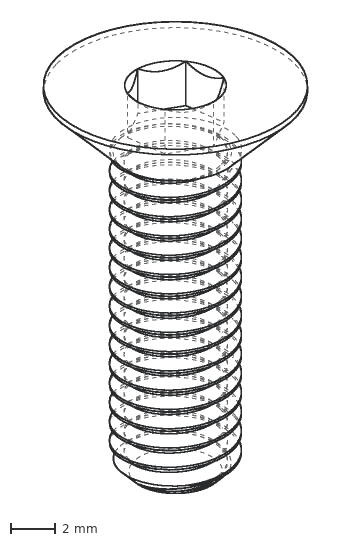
import cadquery as cq
import math


screw_length = 20.0
thread_diameter = 6.0
thread_radius = thread_diameter / 2

head_diameter = 12.0
head_radius = head_diameter / 2
rim_height = 0.3
cone_height = head_radius - thread_radius
head_height = rim_height + cone_height

socket_across_flats = 4.0
socket_corner_radius = socket_across_flats / 2 / math.cos(math.radians(30))
socket_depth = 2.3

pitch = 1.0
flank_half_angle = math.radians(30)
crest_flat = pitch / 8
root_flat = pitch / 8
flank_height = (pitch - crest_flat - root_flat) / 2
thread_depth = flank_height / math.tan(flank_half_angle)
root_radius = thread_radius - thread_depth
crest_start = 0.84
ridge_embed = 0.05
thread_run_out = 2 * pitch
shank_length = screw_length - head_height

tip_diameter = 4.25
tip_radius = tip_diameter / 2


def make_head():
    """Rim and cone as one revolved profile."""
    return (
        cq.Workplane("XZ")
        .polyline([
            (0, 0),
            (head_radius, 0),
            (head_radius, -rim_height),
            (thread_radius, -head_height),
            (0, -head_height),
        ])
        .close()
        .revolve(360, (0, 0, 0), (0, 1, 0))
    )


def make_core():
    """Cylinder at the thread root, with its seam turned away from the ends of the ridge."""
    return (
        cq.Workplane("XY")
        .workplane(offset=-screw_length - thread_run_out)
        .transformed(rotate=(0, 0, 90))
        .circle(root_radius)
        .extrude(shank_length + 2 * thread_run_out)
    )


def make_ridge():
    """Helical thread ridge of trapezoidal section.

    Each corner of the section follows its own helix. Ruled faces join neighbouring helices and
    flat faces close the ends. A whole number of turns puts both ends on the +X side.
    """
    turns = math.ceil((shank_length + 2 * thread_run_out) / pitch)
    helix_height = turns * pitch
    bottom = crest_start - screw_length - thread_run_out
    inner_radius = root_radius - ridge_embed
    half_crest = crest_flat / 2
    half_base = half_crest + (thread_radius - inner_radius) * math.tan(flank_half_angle)
    corners = [
        (inner_radius, bottom - half_base),
        (thread_radius, bottom - half_crest),
        (thread_radius, bottom + half_crest),
        (inner_radius, bottom + half_base),
    ]

    helices = []
    for radius, z in corners:
        wire = cq.Wire.makeHelix(pitch, helix_height, radius, center=cq.Vector(0, 0, z))
        helices.append(wire.Edges()[0])

    faces = []
    for i, helix in enumerate(helices):
        faces.append(cq.Face.makeRuledSurface(helices[i - 1], helix))
    for rise in (0, helix_height):
        outline = [cq.Vector(radius, 0, z + rise) for radius, z in corners]
        faces.append(cq.Face.makeFromWires(cq.Wire.makePolygon(outline, close=True)))
    return cq.Workplane(cq.Solid.makeSolid(cq.Shell.makeShell(faces)))


def make_shank_envelope():
    """Space the shank may fill: the tip cone, widening past the thread, up to the head."""
    envelope_radius = head_radius
    cone_top = -screw_length + envelope_radius - tip_radius
    return (
        cq.Workplane("XZ")
        .polyline([
            (0, -screw_length),
            (tip_radius, -screw_length),
            (envelope_radius, cone_top),
            (envelope_radius, -head_height),
            (0, -head_height),
        ])
        .close()
        .revolve(360, (0, 0, 0), (0, 1, 0))
    )


def make_socket():
    """Hexagonal pocket with a 45 degree conical lead-in through the hexagon corners."""
    hexagon = (
        cq.Workplane("XY")
        .polygon(6, 2 * socket_corner_radius)
        .extrude(-socket_depth)
        .rotate((0, 0, 0), (0, 0, 1), 90)
    )
    lead_in_depth = socket_corner_radius / 2
    lead_in = cq.Solid.makeCone(
        socket_corner_radius,
        socket_corner_radius - lead_in_depth,
        lead_in_depth,
        dir=cq.Vector(0, 0, -1),
    )
    return hexagon.union(cq.Workplane(lead_in))


threaded_shank = make_core().union(make_ridge()).intersect(make_shank_envelope())
screw = threaded_shank.union(make_head()).cut(make_socket())
result = cq.Workplane(screw.solids().val())